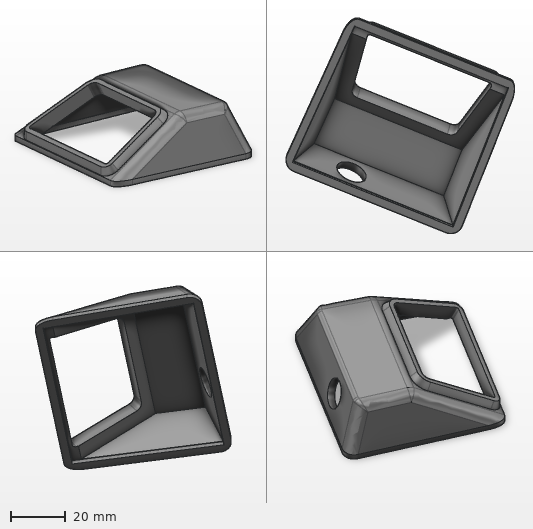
import cadquery as cq
import math

depth = 62.2
skirt_height = 2.15
roof_height = 20.2
wall = 3.0
width = 69.6
half_width_front = 33.4
slope = math.radians(27.8)
back_draft = math.radians(20.2)
side_draft = math.radians(21.0)

side_radius = 5.0
roof_back_radius = 2.0
roof_front_radius = 5.4

frame_height = 3.0
frame_rim = 1.95
frame_flare = 27.4
window_front = 3.75
window_back = 33.5
window_half_front = 24.8
window_half_back = 20.5
window_front_radius = 1.0
window_back_radius = 3.0

hole_diameter = 11.5
hole_x = -9.7
hole_height = 10.4


def half_width(y, z):
    """Half the body width at a given place on the side faces."""
    taper = (width / 2 - half_width_front) / (depth - side_radius)
    return half_width_front + taper * y - (z - skirt_height) * math.tan(side_draft)


def plan_corners(front, back, z, side_inset):
    """Corners of the trapezoid between the side faces at height z."""
    front_half = half_width(front, z) - side_inset
    back_half = half_width(back, z) - side_inset
    return [(-front_half, front), (front_half, front), (back_half, back), (-back_half, back)]


def back_y(z):
    """Position of the leaning back face at height z."""
    return depth - (z - skirt_height) * math.tan(back_draft)


def housing_block(inset):
    """Sharp-edged housing from skirt to roof, with every face but the floor moved inward."""
    floor = skirt_height
    roof = roof_height - inset
    back_inset = inset / math.cos(back_draft)
    front_inset = inset / math.sin(slope)
    side_inset = inset / math.cos(side_draft)

    def front_y(z):
        return (z - skirt_height) / math.tan(slope) + front_inset

    profile = (
        cq.Workplane("YZ")
        .polyline([
            (front_y(floor), floor),
            (back_y(floor) - back_inset, floor),
            (back_y(roof) - back_inset, roof),
            (front_y(roof), roof),
        ])
        .close()
        .extrude(width, both=True)
    )

    front_end = -depth
    back_end = 2 * depth

    def section(z):
        corners = plan_corners(front_end, back_end, z, side_inset)
        return cq.Wire.makePolygon([cq.Vector(x, y, z) for x, y in corners], close=True)

    sides = cq.Solid.makeLoft([section(floor), section(roof)], True)
    return profile.intersect(cq.Workplane(sides))


def roof_edge(body, selector):
    """Straight edge across the front or back of the roof."""
    return body.faces(">Z").edges("|X").edges(selector)


def rounded_body():
    """Housing block with rounded edges, carried straight down to form the skirt."""
    block = housing_block(0)
    body = block.faces("<X or >X").edges("not(<Z)").fillet(side_radius)
    body = roof_edge(body, "<Y").fillet(roof_front_radius)
    body = roof_edge(body, ">Y").fillet(roof_back_radius)
    footprint = body.faces("<Z").val()
    skirt = cq.Solid.extrudeLinear(footprint, cq.Vector(0, 0, -skirt_height))
    return body.union(cq.Workplane(skirt))


def skirt_pocket():
    """Straight-walled pocket through the skirt, open below and meeting the cavity above."""
    corners = plan_corners(wall, depth - wall, skirt_height, wall)
    return cq.Workplane("XY").polyline(corners).close().extrude(skirt_height)


def slope_plane(height):
    """Plane parallel to the sloping face, with its local y running up the slope."""
    normal = cq.Vector(0, -math.sin(slope), math.cos(slope))
    origin = cq.Vector(0, 0, skirt_height) + normal * height
    return cq.Workplane(cq.Plane(origin, xDir=(1, 0, 0), normal=normal))


def window_outline(margin):
    """Rounded trapezoid of the window opening, grown outward by margin."""
    edge_lean = math.atan2(window_half_front - window_half_back, window_back - window_front)
    shift = margin / math.cos(edge_lean)
    front_half = window_half_front + shift + margin * math.tan(edge_lean)
    back_half = window_half_back + shift - margin * math.tan(edge_lean)
    front = window_front - margin
    back = window_back + margin
    corners = [(-front_half, front), (front_half, front), (back_half, back), (-back_half, back)]
    sketch = cq.Sketch().polygon(corners + corners[:1])
    sketch = sketch.vertices("<Y").fillet(window_front_radius + margin).reset()
    return sketch.vertices(">Y").fillet(window_back_radius + margin).reset()


def window_frame():
    """Raised frame around the window, flaring out toward the sloping face."""
    flare = frame_height * math.tan(math.radians(frame_flare))
    outline = window_outline(frame_rim + flare)
    return slope_plane(0).placeSketch(outline).extrude(frame_height, taper=frame_flare)


def window_opening():
    """Straight-walled cutter through the frame and the sloping wall."""
    return slope_plane(frame_height).placeSketch(window_outline(0)).extrude(-(frame_height + wall))


def cable_hole():
    """Cutter through the back wall, square to its outer face."""
    outward = cq.Vector(0, math.cos(back_draft), math.sin(back_draft))
    center = cq.Vector(hole_x, back_y(hole_height), hole_height)
    plane = cq.Plane(center + outward * wall, xDir=(1, 0, 0), normal=outward)
    return cq.Workplane(plane).circle(hole_diameter / 2).extrude(-3 * wall)


result = (
    rounded_body()
    .union(window_frame())
    .cut(housing_block(wall))
    .cut(skirt_pocket())
    .cut(window_opening())
    .cut(cable_hole())
)